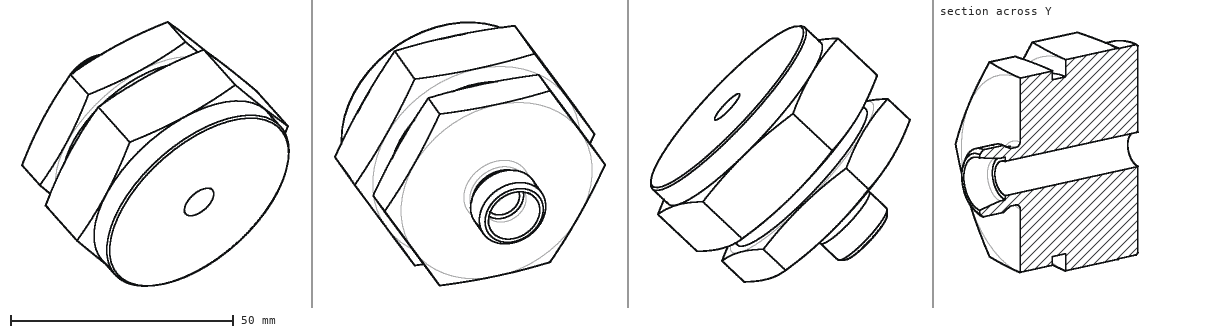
import cadquery as cq
import math

spigot_straight_end = 6.45
groove_start = 8.5
small_hex_start = 11.0
small_hex_end = 20.0
large_hex_start = 23.5
large_hex_end = 37.9
total_length = 43.4

large_corner_diameter = 57.75
large_flats = large_corner_diameter * math.cos(math.pi / 6)
small_flats = 46.0
spigot_diameter = 16.0
groove_diameter = 13.75
waist_diameter = 41.95
collar_diameter = 49.9

spigot_chamfer = 1.0
groove_root_fillet = 1.05
collar_chamfer = 0.45
hex_chamfer_angle = math.radians(15)

bore_diameter = 8.0
socket_diameter = 10.0
cone_mouth_diameter = 12.35
cone_half_angle = math.radians(12)
socket_depth = 7.0


def cylinder(diameter, start, end):
    """Solid cylinder on the X axis between two stations."""
    return cq.Workplane("YZ", origin=(start, 0, 0)).circle(diameter / 2).extrude(end - start)


def chamfered_hexagon(flats, start, end):
    """Hexagon with flats on top and bottom, its corners turned off by a cone at both ends."""
    corner_diameter = flats / math.cos(math.pi / 6)
    corner_radius = corner_diameter / 2
    face_radius = flats / 2
    setback = (corner_radius - face_radius) * math.tan(hex_chamfer_angle)
    prism = (
        cq.Workplane("YZ", origin=(start, 0, 0))
        .polygon(6, corner_diameter)
        .extrude(end - start)
    )
    turned_envelope = (
        cq.Workplane("XY")
        .moveTo(start, 0)
        .lineTo(start, face_radius)
        .lineTo(start + setback, corner_radius)
        .lineTo(end - setback, corner_radius)
        .lineTo(end, face_radius)
        .lineTo(end, 0)
        .close()
        .revolve(360, (0, 0, 0), (1, 0, 0))
    )
    return prism.intersect(turned_envelope)


def spigot():
    """Chamfered spigot, tapering to an undercut that flares into the small hexagon."""
    outer_radius = spigot_diameter / 2
    groove_radius = groove_diameter / 2
    flare_start = small_hex_start - groove_root_fillet
    diagonal = groove_root_fillet * math.sqrt(0.5)
    flare_middle = (flare_start + diagonal, groove_radius + groove_root_fillet - diagonal)
    return (
        cq.Workplane("XY")
        .lineTo(0, outer_radius - spigot_chamfer)
        .lineTo(spigot_chamfer, outer_radius)
        .lineTo(spigot_straight_end, outer_radius)
        .lineTo(groove_start, groove_radius)
        .lineTo(flare_start, groove_radius)
        .threePointArc(flare_middle, (small_hex_start, groove_radius + groove_root_fillet))
        .lineTo(small_hex_start, 0)
        .close()
        .revolve(360, (0, 0, 0), (1, 0, 0))
    )


def bore():
    """Sealing cone, stepped tube socket and through bore as one cutting solid."""
    socket_radius = socket_diameter / 2
    mouth_radius = cone_mouth_diameter / 2
    bore_radius = bore_diameter / 2
    cone_depth = (mouth_radius - socket_radius) / math.tan(cone_half_angle)
    return (
        cq.Workplane("XY")
        .lineTo(0, mouth_radius)
        .lineTo(cone_depth, socket_radius)
        .lineTo(socket_depth, socket_radius)
        .lineTo(socket_depth, bore_radius)
        .lineTo(total_length, bore_radius)
        .lineTo(total_length, 0)
        .close()
        .revolve(360, (0, 0, 0), (1, 0, 0))
    )


small_hexagon = chamfered_hexagon(small_flats, small_hex_start, small_hex_end)
waist = cylinder(waist_diameter, small_hex_end, large_hex_start)
large_hexagon = chamfered_hexagon(large_flats, large_hex_start, large_hex_end)
collar = cylinder(collar_diameter, large_hex_end, total_length).faces(">X").chamfer(collar_chamfer)

body = spigot().union(small_hexagon).union(waist).union(large_hexagon).union(collar)
result = body.cut(bore())